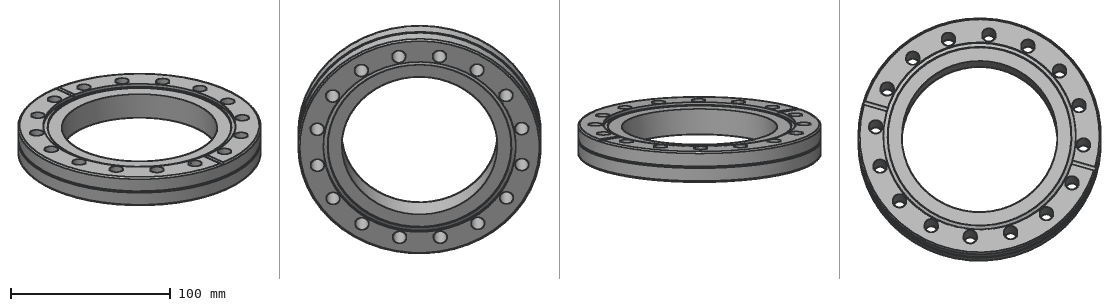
import cadquery as cq
import math

outer_diameter = 152.0
bore_diameter = 97.3
thickness = 19.8
outer_radius = outer_diameter / 2
bore_radius = bore_diameter / 2
half_thickness = thickness / 2

rim_chamfer = 1.0
mid_groove_depth = 0.5
mid_groove_half_width = 0.6

recess_radius = 60.2
knife_radius = 57.6
knife_inset = 0.3
knife_slope = 20.0
knife_tip_depth = 1.0
floor_depth = 1.7
knife_base_depth = knife_tip_depth + (recess_radius - knife_radius) * math.tan(math.radians(knife_slope))

bolt_count = 16
bolt_circle_diameter = 130.4
bolt_hole_diameter = 8.5
bolt_pitch = 360 / bolt_count

leak_groove_width = 2.5
leak_groove_depth = 0.8
leak_groove_angle = bolt_pitch / 2
leak_groove_start = (recess_radius + knife_radius) / 2


def upper_half_ring():
    """Revolve the section above the middle plane."""
    top = half_thickness
    section = (
        cq.Workplane("XZ")
        .moveTo(bore_radius, 0)
        .lineTo(outer_radius - mid_groove_depth, 0)
        .lineTo(outer_radius, mid_groove_half_width)
        .lineTo(outer_radius, top - rim_chamfer)
        .lineTo(outer_radius - rim_chamfer, top)
        .lineTo(recess_radius, top)
        .lineTo(recess_radius, top - knife_base_depth)
        .lineTo(knife_radius, top - knife_tip_depth)
        .lineTo(knife_radius - knife_inset, top - floor_depth)
        .lineTo(bore_radius, top - floor_depth)
        .close()
    )
    return section.revolve(360, (0, 0, 0), (0, 1, 0))


def leak_groove(angle):
    """Round-bottomed radial cutter that runs from the recess out through the rim."""
    half_width = leak_groove_width / 2
    groove_radius = (half_width**2 + leak_groove_depth**2) / (2 * leak_groove_depth)
    center_height = half_thickness - leak_groove_depth + groove_radius
    cutter = (
        cq.Workplane("YZ", origin=(leak_groove_start, 0, 0))
        .center(0, center_height)
        .circle(groove_radius)
        .extrude(outer_radius)
    )
    return cutter.rotate((0, 0, 0), (0, 0, 1), angle)


upper_half = upper_half_ring()
ring = upper_half.union(upper_half.mirror("XY"))

for side_angle in (0, 180):
    ring = ring.cut(leak_groove(leak_groove_angle + side_angle))

bolt_holes = (
    cq.Workplane("XY", origin=(0, 0, -half_thickness))
    .polarArray(bolt_circle_diameter / 2, 0, 360, bolt_count)
    .circle(bolt_hole_diameter / 2)
    .extrude(thickness)
)
result = ring.cut(bolt_holes)